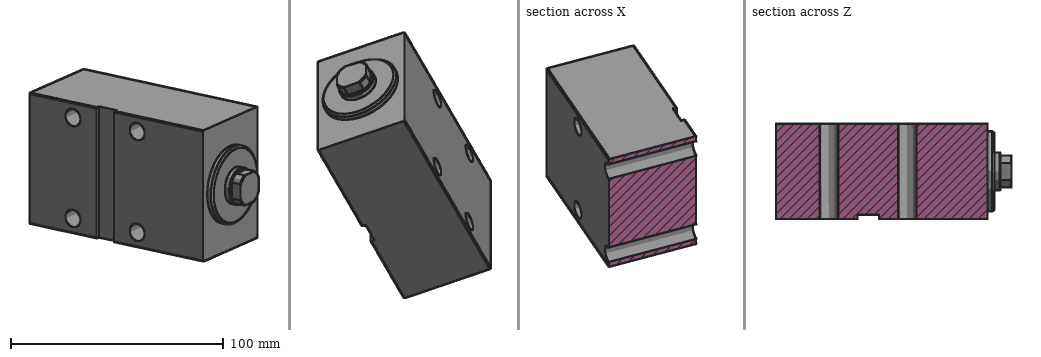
import cadquery as cq

block_length = 99.8
block_depth = 45.0
block_height = 65.0
edge_chamfer = 0.5

hole_diameter = 8.5
first_hole_column = 25.0
hole_column_spacing = 37.0
hole_row_spacing = 50.0

groove_start = 38.5
groove_width = 10.0
groove_depth = 2.0

collar_diameter = 38.0
collar_thickness = 3.1
collar_chamfer = 1.0

rod_diameter = 18.0
rod_shoulder_length = 3.0
rod_chamfer = 0.5
rod_tip_diameter = rod_diameter - 2 * rod_chamfer
rod_flats_width = 15.0
rod_tip_chamfer = 0.3
overall_length = 111.0

collar_end = block_length + collar_thickness
shoulder_end = collar_end + rod_shoulder_length


def make_block():
    block = cq.Workplane("XY").box(
        block_length, block_depth, block_height, centered=(False, True, True)
    )
    block = block.edges("|X").chamfer(edge_chamfer)
    return block.cut(make_hole_tools()).cut(make_groove_tool())


def make_hole_tools():
    half_spacing = hole_row_spacing / 2
    second_hole_column = first_hole_column + hole_column_spacing
    centers = [
        (x, z)
        for x in (first_hole_column, second_hole_column)
        for z in (-half_spacing, half_spacing)
    ]
    return (
        cq.Workplane("XZ")
        .pushPoints(centers)
        .circle(hole_diameter / 2)
        .extrude(block_depth / 2, both=True)
    )


def make_groove_tool():
    return cq.Workplane("XY").box(
        groove_width, groove_depth, block_height, centered=(False, False, True)
    ).translate((groove_start, -block_depth / 2, 0))


def make_collar():
    collar = cq.Workplane("YZ", origin=(block_length, 0, 0))
    collar = collar.circle(collar_diameter / 2).extrude(collar_thickness)
    collar = collar.faces(">X").edges().chamfer(collar_chamfer)
    return collar.faces(">X").workplane().hole(rod_diameter)


def make_rod():
    rod = cq.Workplane("YZ", origin=(block_length, 0, 0))
    rod = rod.circle(rod_diameter / 2).extrude(shoulder_end - block_length)
    rod = rod.faces(">X").edges().chamfer(rod_chamfer)

    tip_length = overall_length - shoulder_end
    tip_plane = cq.Workplane("YZ", origin=(shoulder_end, 0, 0))
    tip = tip_plane.circle(rod_tip_diameter / 2).extrude(tip_length)
    tip = tip.faces(">X").edges().chamfer(rod_tip_chamfer)
    flats = tip_plane.rect(rod_flats_width, rod_flats_width).extrude(tip_length)
    return rod.union(tip.intersect(flats))


block = make_block()
collar = make_collar()
rod = make_rod()

result = cq.Compound.makeCompound([block.val(), collar.val(), rod.val()])